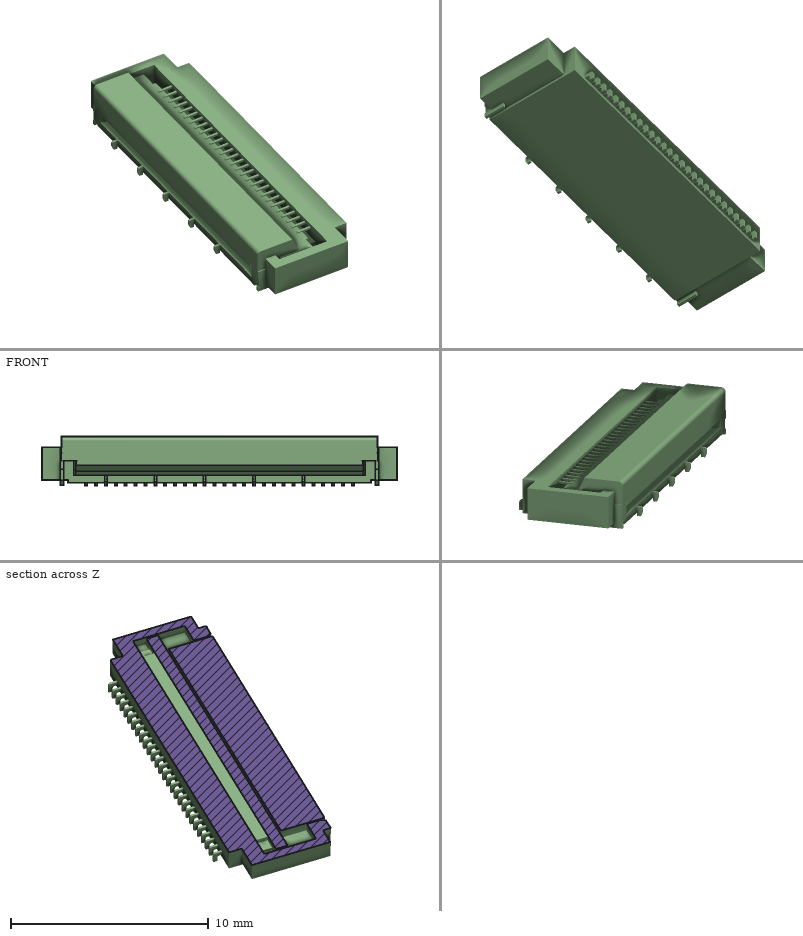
import cadquery as cq


length = 18.0
wing_front = 0.43
wing_back = 4.77
wing_bottom = 0.29
housing_top = 1.96
core_width = 15.37
core_back = 5.47
core_bottom = 0.15
mouth_width = 15.8
mouth_top = 1.28
mouth_setback = 0.02

pocket_width = 16.92
pocket_front = 1.03
pocket_back = 3.85
pocket_floor = 0.81
front_gap_width = 16.13
low_step_width = 15.8
low_step_top = 0.94
high_step_width = 14.62
high_step_top = 1.17
step_front = 3.06

slot_width = 14.58
slot_floor = 0.52
slot_depth = 2.52
lead_in_width = 0.1
lead_in_depth = 0.36
ramp_top = 0.74
ramp_run = 0.36

lid_width = 16.02
lid_top = 2.5
lid_plate_top = 1.67
lid_wing_width = 16.78
lid_wing_front = 1.3
lid_wing_back = 3.19
lid_tongue_width = 14.9
lid_tongue_back = 3.35
ridge_top_back = 2.05
ridge_foot_back = 2.43
lid_edge_radius = 0.22
lid_lip_width = 14.5
lid_lip_bottom = 1.05

pitch = 0.5
contact_count = 28
contact_width = 0.13
tail_top = 0.55
tail_thickness = 0.22
tail_back = 5.95
tail_radius = 0.15
tail_inner_radius = 0.1
arm_tip = 3.05
arm_top = 1.76
arm_tip_top = 1.73
arm_thickness = 0.13
tip_chamfer = 0.07
front_tail_positions = range(2, 23, 5)
front_tail_top = 0.5
front_tail_reach = 0.29
front_tail_foot = 0.2
front_tail_radius = 0.09
front_tail_taper_height = 0.22

plate_thickness = 0.16
plate_bottom = 0.02
plate_foot_back = 1.19
plate_upright_back = 0.54
plate_notch_depth = 0.04
plate_notch_bottom = 0.29
plate_notch_top = 0.85

overlap = 0.18


def block(width, y_front, y_back, z_bottom, z_top):
    """Box centred on X between the given Y and Z limits."""
    return (
        cq.Workplane("XY", origin=(0, 0, z_bottom))
        .rect(width, y_back - y_front)
        .extrude(z_top - z_bottom)
        .translate((0, (y_front + y_back) / 2, 0))
    )


def side_profile(points, width, x_center=0.0):
    """Closed (Y, Z) outline extruded along X, centred on x_center."""
    sketch = cq.Workplane("YZ", origin=(x_center, 0, 0))
    return sketch.polyline(points).close().extrude(width / 2, both=True)


def contact_x(index):
    """X of a contact, counted from the -X end of the row."""
    return (index - (contact_count - 1) / 2) * pitch


def make_housing():
    """Body with wings, a stepped pocket for the lid and the cable slot."""
    wings = block(length, wing_front, wing_back, wing_bottom, housing_top)
    core = block(core_width, mouth_setback, core_back, core_bottom, mouth_top)
    back = block(core_width, wing_back - overlap, core_back, core_bottom, housing_top)
    mouth = block(mouth_width, mouth_setback, wing_front + overlap, wing_bottom, mouth_top)
    housing = wings.union(core).union(back).union(mouth)

    pocket = block(pocket_width, pocket_front, pocket_back, pocket_floor, housing_top)
    front_gap = block(front_gap_width, 0, pocket_front, mouth_top, housing_top)
    housing = housing.cut(pocket).cut(front_gap)

    low_step = block(low_step_width, step_front, pocket_back, pocket_floor, low_step_top)
    high_step = block(high_step_width, step_front, pocket_back, pocket_floor, high_step_top)
    housing = housing.union(low_step).union(high_step)
    return housing.cut(make_slot())


def make_slot():
    """Cable slot with flared side walls and a ramp at the back of its floor."""
    half = slot_width / 2
    plan = [
        (-half - lead_in_width, 0),
        (half + lead_in_width, 0),
        (half, lead_in_depth),
        (half, slot_depth),
        (-half, slot_depth),
        (-half, lead_in_depth),
    ]
    slot = cq.Workplane("XY", origin=(0, 0, slot_floor))
    slot = slot.polyline(plan).close().extrude(mouth_top - slot_floor)
    ramp = side_profile(
        [
            (slot_depth - ramp_run, slot_floor),
            (slot_depth, slot_floor),
            (slot_depth, ramp_top),
        ],
        slot_width,
    )
    return slot.cut(ramp)


def make_lid():
    """Raised front bar with a thin plate behind it and a lip over the slot."""
    bar = side_profile(
        [
            (0, mouth_top),
            (0, lid_top),
            (ridge_top_back, lid_top),
            (ridge_foot_back, lid_plate_top),
            (ridge_foot_back, mouth_top),
        ],
        lid_width,
    )
    bar = bar.faces("<Y").edges(">Z").fillet(lid_edge_radius)
    lip = block(lid_lip_width, 0, ridge_foot_back, lid_lip_bottom, mouth_top)
    wing = block(lid_wing_width, lid_wing_front, lid_wing_back, pocket_floor, lid_plate_top)
    wing = wing.cut(block(lid_wing_width, 0, slot_depth, pocket_floor, mouth_top))
    tongue = block(lid_tongue_width, ridge_foot_back, lid_tongue_back, mouth_top, lid_plate_top)
    return bar.union(lip).union(wing).union(tongue)


def make_rear_tail():
    """Tail that leaves the back of the housing and bends down to the board."""
    tail = side_profile(
        [
            (core_back - overlap, tail_top),
            (tail_back, tail_top),
            (tail_back, 0),
            (tail_back - tail_thickness, 0),
            (tail_back - tail_thickness, tail_top - tail_thickness),
            (core_back - overlap, tail_top - tail_thickness),
        ],
        contact_width,
    )
    outer_bend = cq.selectors.NearestToPointSelector((0, tail_back, tail_top))
    inner_bend = cq.selectors.NearestToPointSelector(
        (0, tail_back - tail_thickness, tail_top - tail_thickness)
    )
    tail = tail.edges("|X").edges(outer_bend).fillet(tail_radius)
    return tail.edges("|X").edges(inner_bend).fillet(tail_inner_radius)


def make_contact_arm():
    """Spring arm reaching from the pocket's back wall onto the lid plate."""
    return side_profile(
        [
            (pocket_back + overlap, arm_top),
            (arm_tip + tip_chamfer, arm_tip_top),
            (arm_tip, arm_tip_top - tip_chamfer),
            (arm_tip, arm_tip_top - arm_thickness),
            (pocket_back + overlap, arm_top - arm_thickness),
        ],
        contact_width,
    )


def make_front_tail():
    """Short tail standing out below the slot."""
    tail = side_profile(
        [
            (overlap, front_tail_top),
            (-front_tail_reach, front_tail_top),
            (-front_tail_reach, front_tail_taper_height),
            (-front_tail_foot, 0),
            (0, 0),
            (0, core_bottom + overlap),
            (overlap, core_bottom + overlap),
        ],
        contact_width,
    )
    return tail.edges("|X").edges("<Y").edges(">Z").fillet(front_tail_radius)


def make_plate(side):
    """L-shaped solder plate beside the mouth, its front edge notched."""
    profile = [
        (0, plate_bottom),
        (plate_foot_back, plate_bottom),
        (plate_foot_back, wing_bottom),
        (plate_upright_back, wing_bottom),
        (plate_upright_back, mouth_top),
        (0, mouth_top),
        (0, plate_notch_top),
        (plate_notch_depth, plate_notch_top),
        (plate_notch_depth, plate_notch_bottom),
        (0, plate_notch_bottom),
    ]
    x_center = side * (mouth_width + plate_thickness) / 2
    return side_profile(profile, plate_thickness, x_center)


result = make_housing().union(make_lid())
for side in (-1, 1):
    result = result.union(make_plate(side))

rear_contact = make_rear_tail().union(make_contact_arm())
for index in range(contact_count):
    result = result.union(rear_contact.translate((contact_x(index), 0, 0)))

front_tail = make_front_tail()
for index in front_tail_positions:
    result = result.union(front_tail.translate((contact_x(index), 0, 0)))